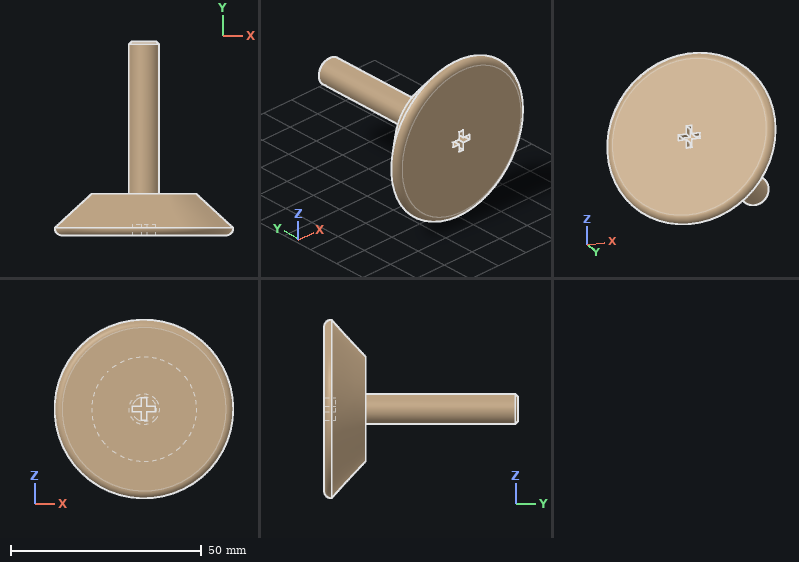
import cadquery as cq

head_diameter = 47.0
head_thickness = 11.0
rim_radius = 2.0
shoulder_diameter = 27.5

stem_diameter = 8.0
stem_length = 40.0
stem_chamfer = 0.77

recess_span = 6.0
recess_slot_width = 1.5
recess_depth = 3.0


def make_head():
    """Revolve the head profile about the Y axis, with its flat face at Y = 0."""
    head_radius = head_diameter / 2
    profile = (
        cq.Workplane("XY")
        .lineTo(head_radius - rim_radius, 0)
        .radiusArc((head_radius, rim_radius), -rim_radius)
        .lineTo(shoulder_diameter / 2, head_thickness)
        .lineTo(0, head_thickness)
        .close()
    )
    return profile.revolve(360, (0, 0, 0), (0, 1, 0))


def make_stem():
    """Cylinder running from the shoulder toward +Y, chamfered at its free end."""
    shoulder_plane = cq.Workplane("XZ", origin=(0, head_thickness, 0))
    stem = shoulder_plane.circle(stem_diameter / 2).extrude(-stem_length)
    return stem.faces(">Y").chamfer(stem_chamfer)


def make_cross_recess():
    """Two crossed slots sunk from the face into the head."""
    face_plane = cq.Workplane("XZ")
    horizontal = face_plane.rect(recess_span, recess_slot_width).extrude(-recess_depth)
    vertical = face_plane.rect(recess_slot_width, recess_span).extrude(-recess_depth)
    return horizontal.union(vertical)


result = make_head().union(make_stem()).cut(make_cross_recess())